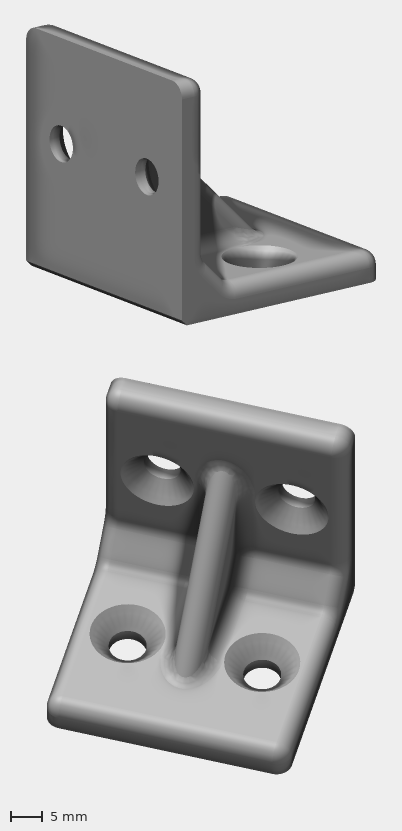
import cadquery as cq

size = 40.0
plate = 5.0
round_radius = plate / 2
outer_bevel = 1.0
inner_bevel = plate
rib_width = plate
rib_reach = 30.0
hole_diameter = 6.0
sink_diameter = 2 * hole_diameter
sink_half_angle = 45.0
hole_spacing = 22.0
hole_offset = (size + plate) / 2


def side_extrusion(points, width):
    """Extrude a (Y, Z) outline symmetrically along X."""
    return cq.Workplane("YZ").polyline(points).close().extrude(width / 2, both=True)


def make_angle():
    """L-shaped body with a bevelled inner corner and rounded inner edges."""
    bend = plate + inner_bevel
    body = side_extrusion(
        [
            (outer_bevel, 0),
            (size, 0),
            (size, plate),
            (bend, plate),
            (plate, bend),
            (plate, size),
            (0, size),
            (0, outer_bevel),
        ],
        size,
    )
    for y, z in ((bend, plate), (plate, bend)):
        body = body.edges(cq.selectors.NearestToPointSelector((0, y, z))).fillet(round_radius)
    body = body.edges("|Z and >Y").fillet(round_radius)
    body = body.edges("|Y and >Z").fillet(round_radius)
    rim_edge = cq.selectors.NearestToPointSelector((0, size, plate))
    return body.edges(rim_edge).fillet(round_radius)


def make_rib():
    """Triangular gusset, buried in both plates, with a fully rounded crest."""
    root = plate / 2
    crest_sum = rib_reach + plate
    half = rib_width / 2
    triangle = side_extrusion([(root, root), (crest_sum - root, root), (root, crest_sum - root)], rib_width)
    across_crest = cq.Plane(
        origin=(0, crest_sum / 2, crest_sum / 2),
        xDir=(1, 0, 0),
        normal=(0, 1, -1),
    )
    section = (
        cq.Workplane(across_crest)
        .moveTo(-half, half)
        .threePointArc((0, 0), (half, half))
        .lineTo(half, size)
        .lineTo(-half, size)
        .close()
    )
    return triangle.intersect(section.extrude(size, both=True))


def blend_rib(body):
    """Fillet the seam between the rib and the angle."""
    margin = 0.4
    half = rib_width / 2 + margin
    low = plate - margin
    high = rib_reach + margin
    near_rib = cq.selectors.BoxSelector((-half, low, low), (half, high, high))
    bevel_limit = 2 * plate + inner_bevel + margin

    def on_seam(edge):
        middle = edge.positionAt(0.5)
        on_plate = min(middle.y, middle.z) < plate + margin
        on_bevel = middle.y + middle.z < bevel_limit
        return on_plate or on_bevel

    return body.edges(near_rib).filter(on_seam).fillet(round_radius)


def cut_holes(body):
    """Countersink a pair of holes into the inner face of each plate."""
    base_face = cq.Workplane("XY", origin=(0, hole_offset, plate))
    wall_face = cq.Workplane("XZ", origin=(0, plate, hole_offset)).transformed(rotate=(180, 0, 0))
    spots = [(-hole_spacing / 2, 0), (hole_spacing / 2, 0)]
    sink_depth = (sink_diameter - hole_diameter) / 2
    for face in (base_face, wall_face):
        for x, y in spots:
            tool_plane = face.center(x, y)
            shaft = tool_plane.circle(hole_diameter / 2).extrude(-plate)
            sink = tool_plane.circle(sink_diameter / 2).extrude(-sink_depth, taper=sink_half_angle)
            body = body.cut(shaft).cut(sink)
    return body


result = cut_holes(blend_rib(make_angle().union(make_rib())))